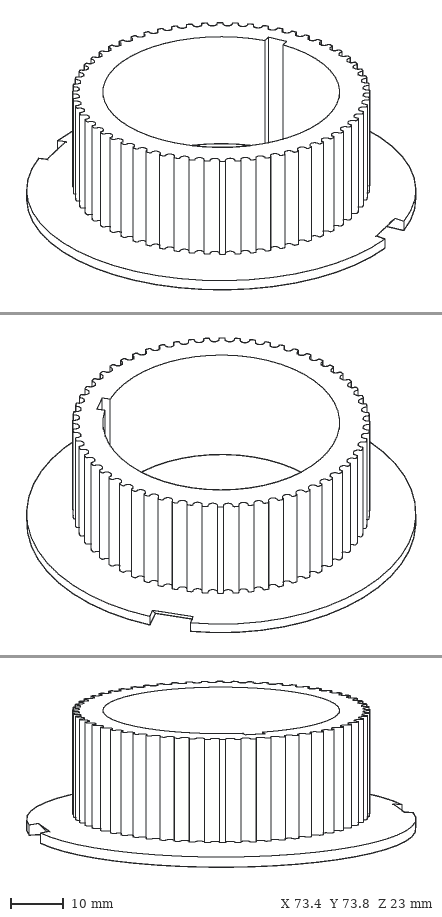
import cadquery as cq
import math

total_height = 23.0

flange_radius = 36.9
rim_height = 2.0
flange_height = 3.0
notch_width = 8.0
notch_floor = 34.9
notch_undercut_angle = 45

hub_radius = 28.2
cone_top_radius = 28.35
groove_count = 60
groove_depth = 1.25
groove_radius = 0.9
tip_round = 0.3

bore_radius = 22.45
keyway_width = 3.85
keyway_floor = 23.9


def make_notch():
    """Notch on the +X side whose floor leans inward below the flange top."""
    cone_slope = (flange_height - rim_height) / (flange_radius - cone_top_radius)
    edge_height = rim_height + cone_slope * (flange_radius - notch_floor)
    undercut = edge_height * math.tan(math.radians(notch_undercut_angle))
    return (
        cq.Workplane("XZ")
        .moveTo(notch_floor - undercut, 0)
        .lineTo(notch_floor, edge_height)
        .lineTo(notch_floor, flange_height)
        .lineTo(flange_radius, flange_height)
        .lineTo(flange_radius, 0)
        .close()
        .extrude(notch_width / 2, both=True)
    )


def make_flange():
    profile = (
        cq.Workplane("XZ")
        .moveTo(0, 0)
        .lineTo(flange_radius, 0)
        .lineTo(flange_radius, rim_height)
        .lineTo(cone_top_radius, flange_height)
        .lineTo(0, flange_height)
        .close()
    )
    flange = profile.revolve(360, (0, 0, 0), (0, 1, 0))
    notch = make_notch()
    return flange.cut(notch).cut(notch.mirror("YZ"))


def polar_point(radius, angle):
    return (radius * math.cos(angle), radius * math.sin(angle))


def turned(point, angle):
    x, y = point
    return (
        x * math.cos(angle) - y * math.sin(angle),
        x * math.sin(angle) + y * math.cos(angle),
    )


def make_hub():
    """Hub whose outline alternates round-bottomed grooves and rounded tooth tips."""
    pitch_angle = 2 * math.pi / groove_count
    floor_x = hub_radius - groove_depth
    flank_x = floor_x + groove_radius

    round_y = groove_radius + tip_round
    mouth_angle = math.asin(round_y / (hub_radius - tip_round))
    round_x = (hub_radius - tip_round) * math.cos(mouth_angle)
    middle_angle = (mouth_angle - math.pi / 2) / 2
    middle_x = round_x + tip_round * math.cos(middle_angle)
    middle_y = round_y + tip_round * math.sin(middle_angle)

    outline = cq.Workplane("XY").moveTo(*polar_point(hub_radius, -mouth_angle))
    for index in range(groove_count):
        angle = index * pitch_angle
        outline = (
            outline.threePointArc(
                turned((middle_x, -middle_y), angle),
                turned((round_x, -groove_radius), angle),
            )
            .lineTo(*turned((flank_x, -groove_radius), angle))
            .threePointArc(
                turned((floor_x, 0), angle),
                turned((flank_x, groove_radius), angle),
            )
            .lineTo(*turned((round_x, groove_radius), angle))
            .threePointArc(
                turned((middle_x, middle_y), angle),
                polar_point(hub_radius, angle + mouth_angle),
            )
            .threePointArc(
                polar_point(hub_radius, angle + pitch_angle / 2),
                polar_point(hub_radius, angle + pitch_angle - mouth_angle),
            )
        )
    return outline.close().extrude(total_height)


def make_bore():
    bore = cq.Workplane("XY").circle(bore_radius).extrude(total_height)
    keyway = (
        cq.Workplane("XY")
        .rect(keyway_width, keyway_floor)
        .extrude(total_height)
        .translate((0, keyway_floor / 2, 0))
    )
    return bore.union(keyway)


result = make_flange().union(make_hub()).cut(make_bore())